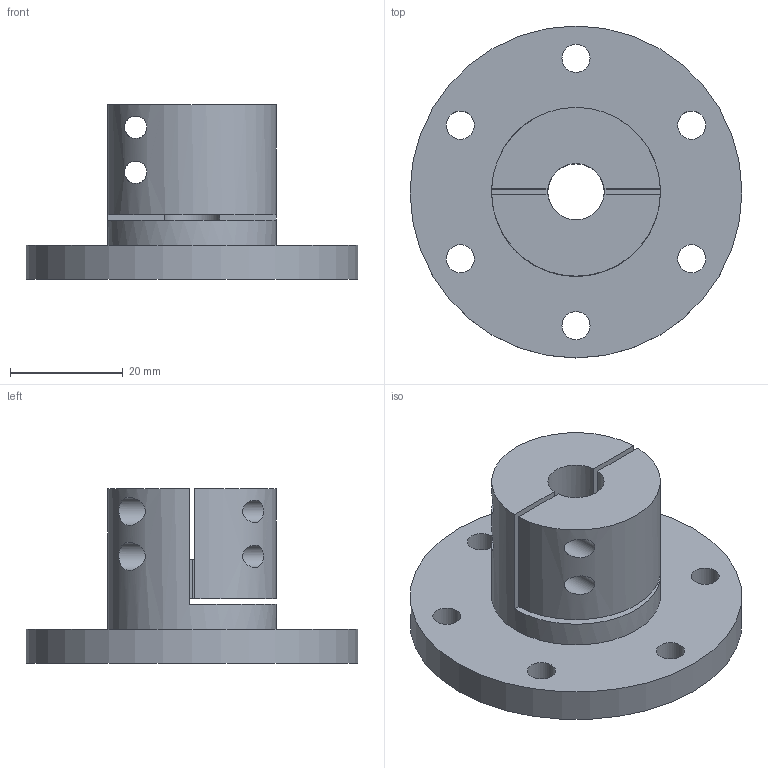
import cadquery as cq

flange_diameter = 59.0
flange_thickness = 6.0
bolt_circle_diameter = 47.5
bolt_hole_diameter = 5.0
bolt_hole_count = 6
first_bolt_angle = 90.0
full_turn = 360.0

hub_diameter = 30.0
total_height = 31.0
bore_diameter = 10.0

slit_width = 1.0
jaw_underside = 11.5
jaw_bridge_top = 18.5

screw_offset = -10.0
screw_heights = (19.0, 27.0)
jaw_screw_diameter = 4.0
hub_screw_diameter = 5.0

hub_radius = hub_diameter / 2
half_slit = slit_width / 2
undercut_floor = jaw_underside - slit_width


def box_between(low, high):
    """Axis-aligned box spanning two opposite corners."""
    size = [b - a for a, b in zip(low, high)]
    return cq.Workplane("XY").box(*size, centered=False).translate(low)


def make_body():
    """Flange and hub with the central bore."""
    flange = cq.Workplane("XY").circle(flange_diameter / 2).extrude(flange_thickness)
    hub = cq.Workplane("XY").circle(hub_radius).extrude(total_height)
    bore = cq.Workplane("XY").circle(bore_diameter / 2).extrude(total_height)
    return flange.union(hub).cut(bore)


def make_bolt_holes():
    """Through holes on the flange bolt circle."""
    return (
        cq.Workplane("XY")
        .polarArray(bolt_circle_diameter / 2, first_bolt_angle, full_turn, bolt_hole_count)
        .circle(bolt_hole_diameter / 2)
        .extrude(flange_thickness)
    )


def make_slits():
    """Vertical slit across the hub and the undercut below the jaw.

    On +X the vertical slit stops above a bridge that keeps the jaw on the hub.
    """
    deep_slit = box_between((-hub_radius, -half_slit, undercut_floor), (0, half_slit, total_height))
    shallow_slit = box_between((0, -half_slit, jaw_bridge_top), (hub_radius, half_slit, total_height))
    undercut = box_between(
        (-hub_radius, -hub_radius, undercut_floor),
        (hub_radius, half_slit, jaw_underside),
    )
    return deep_slit.union(shallow_slit).union(undercut)


def make_screw_hole(height):
    """Clamp screw hole: narrow through the jaw, wider through the fixed half."""
    axis = cq.Workplane("XZ").center(screw_offset, height)
    in_jaw = axis.circle(jaw_screw_diameter / 2).extrude(hub_radius)
    in_hub = axis.circle(hub_screw_diameter / 2).extrude(-hub_radius)
    return in_jaw.union(in_hub)


result = make_body().cut(make_bolt_holes()).cut(make_slits())
for screw_height in screw_heights:
    result = result.cut(make_screw_hole(screw_height))